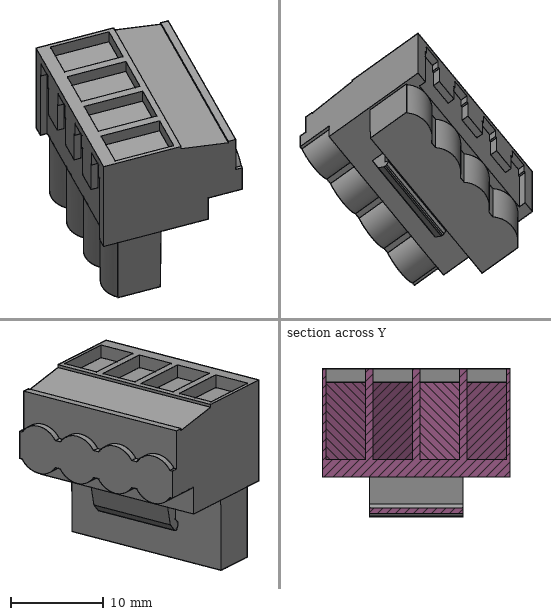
import cadquery as cq


pole_count = 4
pitch = 5.08
housing_width = pole_count * pitch
pole_centres = [(i - (pole_count - 1) / 2) * pitch for i in range(pole_count)]

plug_length = 8.33
housing_height = 11.72
top_z = plug_length + housing_height

total_depth = 16.1
base_depth = 12.13
roof_depth = 8.98
ledge_start = 14.45
rear_wall = 15.32
slope_top_z = top_z - 0.33
slope_foot_z = top_z - 1.25
ledge_z = top_z - 1.05

sleeve_z = top_z - 7.05
bar_height = 3.15
bar_top_z = sleeve_z + bar_height / 2
bar_bottom_z = sleeve_z - bar_height / 2
sleeve_width = 4.43
sleeve_rise = 1.15

recess_depth = 0.8
finger_width = 2.48
finger_tip_width = 2.1
recess_width = (pole_count - 1) * pitch + finger_width
finger_root_z = top_z - 6.6
finger_step_z = top_z - 2.82
finger_tip_z = top_z - 1.08

plug_width = 19.83
bulge_width = 4.39
plug_front = 1.77
plug_rear_top = 6.77
plug_rear_bottom = 6.69

latch_width = 2 * pitch
latch_root_front = 8.43
latch_root_rear = 10.12
latch_bend_rear = 9.37
hook_front = 7.9
hook_tip_front = 8.17
hook_tip_middle = 8.33
hook_tip_rear = 8.53
latch_bend_z = plug_length - 3.3
hook_root_z = plug_length - 2.93
hook_upper_z = plug_length - 3.47
hook_lower_z = plug_length - 3.68
hook_tip_front_z = plug_length - 4.19
hook_tip_rear_z = plug_length - 4.23
hook_bottom_z = plug_length - 4.29

pocket_width = 4.25
pocket_length = 6.79
pocket_front = 1.5
pocket_depth = 1.46
clamp_top_z = top_z - pocket_depth
clamp_bottom_z = bar_bottom_z - sleeve_rise


def box_between(x_centre, width, y_min, y_max, z_min, z_max):
    """Box centred on x_centre, between the given Y and Z limits."""
    return (
        cq.Workplane("XY")
        .box(width, y_max - y_min, z_max - z_min, centered=(True, False, False))
        .translate((x_centre, y_min, z_min))
    )


def extrude_across(outline, width):
    """Extrude a closed (Y, Z) outline along X, centred on the row of poles."""
    return cq.Workplane("YZ").polyline(outline).close().extrude(width / 2, both=True)


def housing_shell():
    """Main housing with its sloping roof and the wire sleeve bar."""
    outline = [
        (0, plug_length),
        (base_depth, plug_length),
        (base_depth, bar_bottom_z),
        (total_depth, bar_bottom_z),
        (total_depth, bar_top_z),
        (rear_wall, bar_top_z),
        (rear_wall, ledge_z),
        (ledge_start, ledge_z),
        (ledge_start, slope_foot_z),
        (roof_depth, slope_top_z),
        (roof_depth, top_z),
        (0, top_z),
    ]
    return extrude_across(outline, housing_width)


def wire_sleeve(x_centre):
    """Rounded wire sleeve of one pole, running along Y inside and beyond the housing."""
    half_width = sleeve_width / 2
    return (
        cq.Workplane("XZ", origin=(x_centre, total_depth, 0))
        .moveTo(-half_width, bar_bottom_z)
        .threePointArc((0, bar_bottom_z - sleeve_rise), (half_width, bar_bottom_z))
        .lineTo(half_width, bar_top_z)
        .threePointArc((0, bar_top_z + sleeve_rise), (-half_width, bar_top_z))
        .close()
        .extrude(total_depth - roof_depth)
    )


def front_recess():
    """Cutter for the front panel and its stepped fingers."""
    cutter = box_between(0, recess_width, 0, recess_depth, plug_length, finger_root_z)
    for x in pole_centres:
        finger = box_between(x, finger_width, 0, recess_depth, plug_length, finger_step_z)
        tip = box_between(x, finger_tip_width, 0, recess_depth, plug_length, finger_tip_z)
        cutter = cutter.union(finger).union(tip)
    return cutter


def plug_block():
    """Plug block with a drafted rear face and a bulged front."""
    outline = [
        (plug_front, 0),
        (plug_rear_bottom, 0),
        (plug_rear_top, plug_length),
        (plug_front, plug_length),
    ]
    block = extrude_across(outline, plug_width)
    half_width = bulge_width / 2
    for x in pole_centres:
        bulge = (
            cq.Workplane("XY")
            .moveTo(x - half_width, plug_front)
            .threePointArc((x, recess_depth), (x + half_width, plug_front))
            .close()
            .extrude(plug_length)
        )
        block = block.union(bulge)
    return block


def latch():
    """Latch arm with a hooked tip that points at the plug."""
    outline = [
        (latch_root_front, plug_length),
        (latch_root_front, hook_root_z),
        (hook_front, hook_upper_z),
        (hook_front, hook_lower_z),
        (hook_tip_front, hook_tip_front_z),
        (hook_tip_middle, hook_bottom_z),
        (hook_tip_rear, hook_tip_rear_z),
        (latch_bend_rear, latch_bend_z),
        (latch_root_rear, plug_length),
    ]
    return extrude_across(outline, latch_width)


def pocket_box(x_centre, z_min, z_max):
    """Box with the footprint of one roof pocket."""
    return box_between(x_centre, pocket_width, pocket_front, pocket_front + pocket_length, z_min, z_max)


def make_housing():
    """Housing with sleeves, plug and latch, hollowed for the clamps."""
    body = housing_shell()
    for x in pole_centres:
        body = body.union(wire_sleeve(x))
    body = body.cut(front_recess()).union(plug_block()).union(latch())
    for x in pole_centres:
        body = body.cut(pocket_box(x, clamp_bottom_z, top_z))
    return body


def make_clamp(x_centre):
    """Clamp block that fills the lower part of one roof pocket."""
    return pocket_box(x_centre, clamp_bottom_z, clamp_top_z)


housing = make_housing()
clamps = [make_clamp(x) for x in pole_centres]

result = cq.Compound.makeCompound([housing.solids().val(), *[clamp.val() for clamp in clamps]])